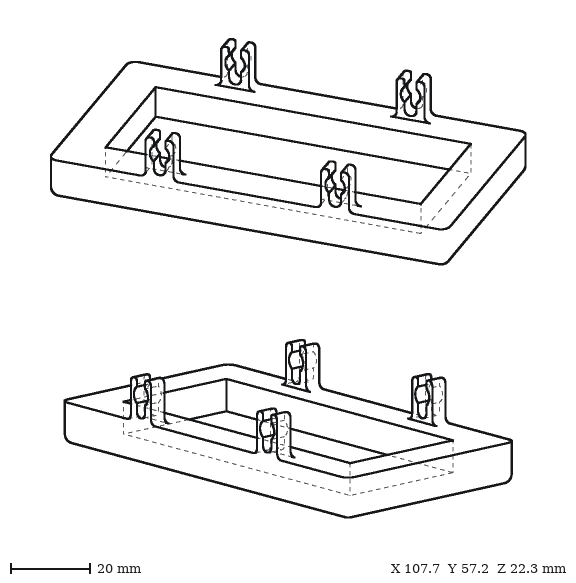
import cadquery as cq

length = 107.7
width = 57.2
body_height = 11.0
total_height = 22.3
edge_radius = 2.5

pocket_length = 85.1
pocket_width = 34.9
floor_thickness = 2.6

clip_spacing = 47.4
clip_width = 7.5
clip_depth = 4.5
root_radius = 1.5
outer_tip_radius = 1.2
inner_tip_radius = 0.6
slot_width = 3.1
slot_bottom_height = 1.1
socket_diameter = 5.3
socket_height = 6.9


def make_tray():
    body = (
        cq.Workplane("XY")
        .box(length, width, body_height, centered=(True, True, False))
        .edges("|Z")
        .fillet(edge_radius)
        .faces("<Z")
        .edges()
        .fillet(edge_radius)
    )
    pocket_depth = body_height - floor_thickness
    pocket = (
        cq.Workplane("XY", origin=(0, 0, floor_thickness))
        .box(pocket_length, pocket_width, pocket_depth, centered=(True, True, False))
    )
    return body.cut(pocket)


def make_clip():
    """Clip centred on X = 0, with its root at Z = 0 and its depth running from Y = 0 to +Y."""
    height = total_height - body_height
    half_clip = clip_width / 2
    half_root = half_clip + root_radius
    half_slot = slot_width / 2

    clip = (
        cq.Workplane("XZ")
        .moveTo(-half_root, 0)
        .radiusArc((-half_clip, root_radius), -root_radius)
        .lineTo(-half_clip, height)
        .lineTo(half_clip, height)
        .lineTo(half_clip, root_radius)
        .radiusArc((half_root, 0), -root_radius)
        .close()
        .extrude(-clip_depth)
    )

    slot_axis_height = slot_bottom_height + half_slot
    slot = (
        cq.Workplane("XZ")
        .moveTo(-half_slot, height)
        .lineTo(-half_slot, slot_axis_height)
        .threePointArc((0, slot_bottom_height), (half_slot, slot_axis_height))
        .lineTo(half_slot, height)
        .close()
        .extrude(-clip_depth)
    )
    socket = (
        cq.Workplane("XZ")
        .center(0, socket_height)
        .circle(socket_diameter / 2)
        .extrude(-clip_depth)
    )
    clip = clip.cut(slot).cut(socket)

    clip = clip.faces(">Z").edges("|Y").edges("not(<X or >X)").fillet(inner_tip_radius)
    return clip.faces(">Z").edges("|Y").edges("<X or >X").fillet(outer_tip_radius)


result = make_tray()
clip = make_clip()
for x in (-clip_spacing / 2, clip_spacing / 2):
    for y in (-width / 2, width / 2 - clip_depth):
        result = result.union(clip.translate((x, y, body_height)))